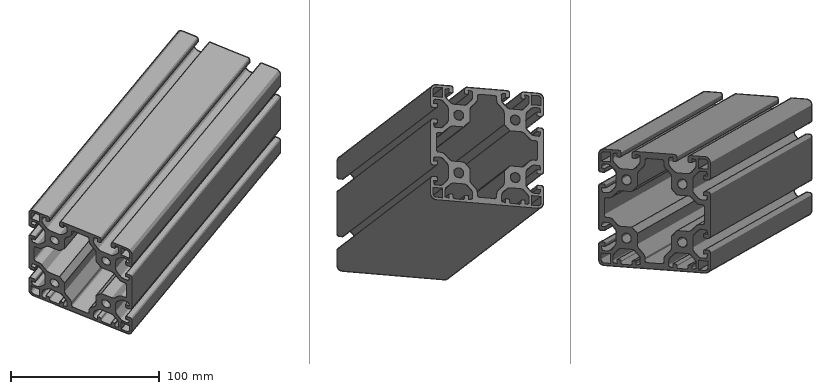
import cadquery as cq
import math

SIDE = 80.0
LENGTH = 200.0
HALF_SIDE = SIDE / 2
MODULE_CENTRE = SIDE / 4
CORNER_RADIUS = 4.0
SKIN = 1.8
BORE_DIAMETER = 6.8

OPENING_HALF = 4.0
LIP_HALF = 6.8
SLOT_HALF = 9.8
LIP_DEPTH = 4.8
UNDERCUT_DEPTH = 2.5
LIP_ROOT_DEPTH = 2.0
SLOT_DEPTH = 12.5
FLANK_START_DEPTH = 7.8
LIP_NOSE_RADIUS = 1.8
LIP_TIP_RADIUS = 1.0
LIP_ROOT_RADIUS = 0.2
UNDERCUT_RADIUS = 1.2
FLANK_RADIUS = 4.0
CLOSED_MOUTH_RADIUS = 1.2
CLEARANCE = 2.0

CELL_SIZE = 6.5

SIDE_WALL = 4.2
CAVITY_REACH = HALF_SIDE - SIDE_WALL
ARM_HALF = 6.8
HUB_DISTANCE = 12.2
HUB_CHAMFER = 4.0
ARM_FLANK_START = 31.0
ARM_END_RADIUS = 1.5
ARM_FLANK_RADIUS = 4.0


def rounded_prism(corners):
    """Extrude a closed outline of (x, z, radius) corners over the length; radius 0 is sharp."""
    path = None
    for i, (x, z, radius) in enumerate(corners):
        last_x, last_z, _ = corners[i - 1]
        next_x, next_z, _ = corners[(i + 1) % len(corners)]
        corner = cq.Vector(x, z)
        to_last = (cq.Vector(last_x, last_z) - corner).normalized()
        to_next = (cq.Vector(next_x, next_z) - corner).normalized()
        half_angle = to_last.getAngle(to_next) / 2
        setback = radius / math.tan(half_angle)
        start = corner + to_last * setback
        if path is None:
            path = cq.Workplane("XZ", origin=(0, LENGTH / 2, 0)).moveTo(start.x, start.y)
        else:
            path = path.lineTo(start.x, start.y)
        if radius > 0:
            bisector = (to_last + to_next).normalized()
            middle = corner + bisector * (radius / math.sin(half_angle) - radius)
            end = corner + to_next * setback
            path = path.threePointArc((middle.x, middle.y), (end.x, end.y))
    return path.close().extrude(LENGTH)


def mirrored(half_outline):
    """Complete an outline that is symmetric about x = 0 from its +x half."""
    return half_outline + [(-x, z, radius) for x, z, radius in reversed(half_outline)]


def turned(solid, quarter_turns):
    """Turn a solid about the part's long axis."""
    return solid.rotate((0, 0, 0), (0, 1, 0), 90 * quarter_turns)


def t_slot(closed):
    """T-slot cutter in the top face, centred on x = 0."""
    if closed:
        mouth = [(OPENING_HALF, SKIN, CLOSED_MOUTH_RADIUS)]
    else:
        mouth = [
            (SLOT_HALF, -CLEARANCE, 0),
            (SLOT_HALF, 0, 0),
            (OPENING_HALF, 0, LIP_NOSE_RADIUS),
        ]
    channel = [
        (OPENING_HALF, LIP_DEPTH, LIP_TIP_RADIUS),
        (LIP_HALF, LIP_DEPTH, 0),
        (LIP_HALF, LIP_ROOT_DEPTH, LIP_ROOT_RADIUS),
        (SLOT_HALF, UNDERCUT_DEPTH, UNDERCUT_RADIUS),
        (SLOT_HALF, FLANK_START_DEPTH, FLANK_RADIUS),
        (SLOT_HALF - (SLOT_DEPTH - FLANK_START_DEPTH), SLOT_DEPTH, FLANK_RADIUS),
    ]
    return rounded_prism(mirrored([(x, HALF_SIDE - depth, r) for x, depth, r in mouth + channel]))


def corner_cell():
    """Hollow in the +X +Z corner, its outer corner concentric with the part's."""
    outer = HALF_SIDE - SKIN
    inner = outer - CELL_SIZE
    return rounded_prism([
        (inner, inner, 0),
        (outer, inner, 0),
        (outer, outer, CORNER_RADIUS - SKIN),
        (inner, outer, 0),
    ])


def cavity():
    """Cross-shaped hollow: four flared arms around an octagonal centre."""
    hub_corner = HUB_DISTANCE + HUB_CHAMFER
    flank_end = ARM_FLANK_START - (HUB_DISTANCE - ARM_HALF)
    arm_side = [
        (ARM_HALF, CAVITY_REACH, ARM_END_RADIUS),
        (ARM_HALF, ARM_FLANK_START, ARM_FLANK_RADIUS),
        (HUB_DISTANCE, flank_end, ARM_FLANK_RADIUS),
        (HUB_DISTANCE, hub_corner, 0),
    ]
    quadrant = arm_side + [(z, x, r) for x, z, r in reversed(arm_side)]
    lower_right = [(x, -z, r) for x, z, r in reversed(quadrant)]
    return rounded_prism(mirrored(quadrant + lower_right))


bar = cq.Workplane("XY").box(SIDE, LENGTH, SIDE).edges("|Y").fillet(CORNER_RADIUS)
bar = bar.cut(cavity())

for quarter_turn in range(4):
    slot = t_slot(closed=quarter_turn == 2)
    for offset in (-MODULE_CENTRE, MODULE_CENTRE):
        bar = bar.cut(turned(slot.translate((offset, 0, 0)), quarter_turn))
    bar = bar.cut(turned(corner_cell(), quarter_turn))

bores = (
    cq.Workplane("XZ", origin=(0, LENGTH / 2, 0))
    .rarray(2 * MODULE_CENTRE, 2 * MODULE_CENTRE, 2, 2)
    .circle(BORE_DIAMETER / 2)
    .extrude(LENGTH)
)
result = bar.cut(bores)